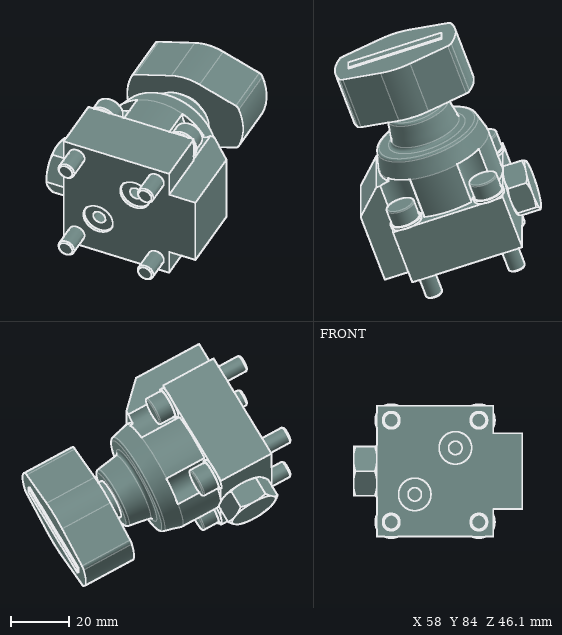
import cadquery as cq
import math

block_width = 40.0
block_depth = 20.0
block_height = 45.0

extension_end = 30.0
extension_half_height = 13.0
extension_depth = 33.85
extension_slope_depth = 25.0
extension_root = 12.6

port_x = 7.0
port_z = 8.0
port_recess_diameter = 11.2
port_recess_depth = 1.0
port_bore_diameter = 4.6
port_bore_depth = 5.0

plug_across_flats = 17.0
plug_height = 8.0
plug_y = 11.5
plug_face_radius = 8.6
plug_chamfer_length = 0.7

bonnet_radius = block_width / 2
bonnet_cylinder_end = 35.0
bonnet_shoulder = 42.0
shoulder_radius = 18.15
neck_base_radius = 12.5
neck_foot_round = 1.7
neck_end = 52.0
neck_end_radius = 10.9
edge_round = 1.0
edge_reach = 0.1

bolt_x = 15.0
bolt_z = 17.5
bolt_diameter = 6.0
bolt_projection = 9.0
bolt_tip_chamfer = 0.5
bolt_head_diameter = 10.0
bolt_head_end = 27.0
bolt_head_round = 0.4
washer_diameter = 11.1
washer_thickness = 1.0
bolt_clearance_radius = 6.5

stem_diameter = 14.0
knob_start = 55.4
knob_end = 74.5
knob_half_height = 15.0
knob_end_radius = 22.0
crown_radius = 17.0
flank_angle = math.radians(18.5)
knob_corner_round = 2.0
pointer_length = 33.9
pointer_width = 4.2
pointer_thickness = 0.5

bolt_centres = [(x, z) for x in (-bolt_x, bolt_x) for z in (-bolt_z, bolt_z)]


def plane_at(y):
    """Plane across the control axis, with local axes X and Z and its normal along -Y."""
    return cq.Workplane("XZ", origin=(0, y, 0))


def disc(x, z, radius, y_start, y_end):
    """Cylinder parallel to the control axis."""
    return plane_at(y_start).center(x, z).circle(radius).extrude(y_start - y_end)


def make_block():
    return plane_at(0).rect(block_width, block_height).extrude(-block_depth)


def make_extension():
    slope_run = extension_depth - extension_slope_depth
    return (
        cq.Workplane("XY", origin=(0, 0, -extension_half_height))
        .moveTo(extension_root, 0)
        .lineTo(extension_end, 0)
        .lineTo(extension_end, extension_slope_depth)
        .lineTo(extension_end - slope_run, extension_depth)
        .lineTo(extension_root, extension_depth)
        .close()
        .extrude(2 * extension_half_height)
    )


def round_bonnet_edge(body, y, radius_rank, rounding):
    """Round one circular edge about the axis at height y, picked by its rank in radius."""
    same_height = cq.selectors.BoxSelector(
        (-edge_reach, y - edge_reach, -edge_reach),
        (edge_reach, y + edge_reach, edge_reach),
    )
    ranked = cq.selectors.RadiusNthSelector(radius_rank)
    return body.edges("%CIRCLE").edges(same_height).edges(ranked).fillet(rounding)


def make_bonnet():
    body = (
        cq.Workplane("XY")
        .moveTo(0, block_depth)
        .lineTo(bonnet_radius, block_depth)
        .lineTo(bonnet_radius, bonnet_cylinder_end)
        .lineTo(shoulder_radius, bonnet_shoulder)
        .lineTo(neck_base_radius, bonnet_shoulder)
        .lineTo(neck_end_radius, neck_end)
        .lineTo(0, neck_end)
        .close()
        .revolve(360, (0, 0, 0), (0, 1, 0))
    )
    body = round_bonnet_edge(body, bonnet_shoulder, 0, neck_foot_round)
    body = round_bonnet_edge(body, bonnet_shoulder, -1, edge_round)
    return round_bonnet_edge(body, neck_end, -1, edge_round)


def make_bolt_clearance(x, z):
    return disc(x, z, bolt_clearance_radius, block_depth, bonnet_cylinder_end)


def make_bolt(x, z):
    shank = disc(x, z, bolt_diameter / 2, -bolt_projection, block_depth)
    shank = shank.faces("<Y").chamfer(bolt_tip_chamfer)
    head = disc(x, z, bolt_head_diameter / 2, block_depth, bolt_head_end)
    head = head.faces(">Y").edges().fillet(bolt_head_round)
    washer = disc(x, z, washer_diameter / 2, block_depth, block_depth + washer_thickness)
    return shank.union(head).union(washer)


def make_plug():
    """Hexagonal plug with both ends turned to a short cone."""
    corner_radius = plug_across_flats / math.sqrt(3)
    hexagon = (
        cq.Workplane("YZ", origin=(-block_width / 2, plug_y, 0))
        .polygon(6, 2 * corner_radius)
        .extrude(-plug_height)
    )
    turned = (
        cq.Workplane("YZ", origin=(-block_width / 2, plug_y, 0))
        .circle(corner_radius)
        .extrude(-plug_height)
        .faces("<X or >X")
        .chamfer(plug_chamfer_length, corner_radius - plug_face_radius)
    )
    return hexagon.intersect(turned)


def cut_port(body, x, z):
    body = body.cut(disc(x, z, port_recess_diameter / 2, 0, port_recess_depth))
    return body.cut(disc(x, z, port_bore_diameter / 2, 0, port_recess_depth + port_bore_depth))


def make_knob():
    """Wing knob: crowned middle, straight tangent flanks and arcs about the axis at both ends."""
    crown_centre = knob_half_height - crown_radius
    crown_x = crown_radius * math.sin(flank_angle)
    crown_z = crown_centre + crown_radius * math.cos(flank_angle)
    flank_distance = crown_x * math.sin(flank_angle) + crown_z * math.cos(flank_angle)
    along_flank = math.sqrt(knob_end_radius**2 - flank_distance**2)
    corner_x = flank_distance * math.sin(flank_angle) + along_flank * math.cos(flank_angle)
    corner_z = flank_distance * math.cos(flank_angle) - along_flank * math.sin(flank_angle)
    wing = (
        plane_at(knob_start)
        .moveTo(-crown_x, crown_z)
        .threePointArc((0, knob_half_height), (crown_x, crown_z))
        .lineTo(corner_x, corner_z)
        .threePointArc((knob_end_radius, 0), (corner_x, -corner_z))
        .lineTo(crown_x, -crown_z)
        .threePointArc((0, -knob_half_height), (-crown_x, -crown_z))
        .lineTo(-corner_x, -corner_z)
        .threePointArc((-knob_end_radius, 0), (-corner_x, corner_z))
        .close()
        .extrude(knob_start - knob_end)
    )
    middle_y = (knob_start + knob_end) / 2
    for x in (-corner_x, corner_x):
        for z in (-corner_z, corner_z):
            nearest = cq.selectors.NearestToPointSelector((x, middle_y, z))
            wing = wing.edges("|Y").edges(nearest).fillet(knob_corner_round)
    pointer = plane_at(knob_end).rect(pointer_length, pointer_width).extrude(-pointer_thickness)
    stem = disc(0, 0, stem_diameter / 2, neck_end, knob_start)
    return wing.union(pointer).union(stem)


result = make_block().union(make_bonnet()).union(make_extension())
for centre in bolt_centres:
    result = result.cut(make_bolt_clearance(*centre))
for centre in bolt_centres:
    result = result.union(make_bolt(*centre))
result = result.union(make_plug()).union(make_knob())
for side in (-1, 1):
    result = cut_port(result, side * port_x, side * port_z)